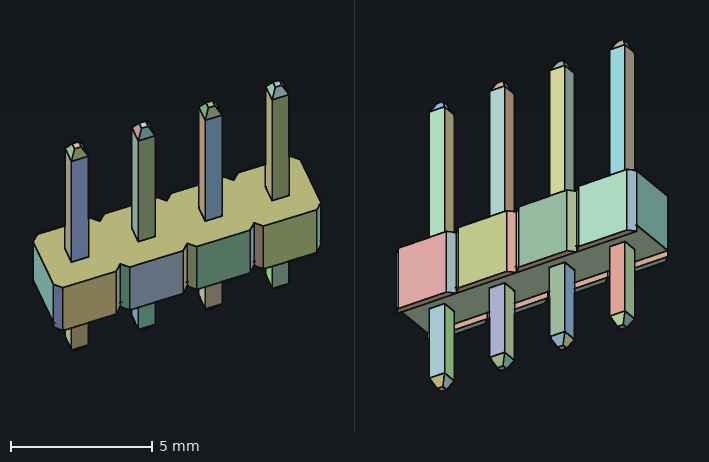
import cadquery as cq

pin_count = 4
pitch = 2.54

body_width = 2.54
body_height = 2.54
corner_chamfer = 0.254
channel_depth = 0.254
rail_width = 0.26
channel_width = body_width - 2 * rail_width

pin_size = 0.65
pin_above_body = 6.35
pin_below_body = 3.05
tip_length = 0.4
tip_size = 0.25

pin_bottom = -pin_below_body
pin_top = body_height + pin_above_body
row_length = pin_count * pitch


def body_segment(y):
    """Block around one pin, with its four vertical corners chamfered."""
    block = cq.Workplane("XY").box(body_width, pitch, body_height, centered=(True, True, False))
    return block.edges("|Z").chamfer(corner_chamfer).translate((0, y, 0))


def standoff_channel():
    """Shallow channel along the whole underside, leaving a rail along each side."""
    return cq.Workplane("XY").box(channel_width, row_length, channel_depth, centered=(True, True, False))


def pin_tip(shoulder_z, end_z):
    """Taper from the full pin section to the small flat end."""
    return (
        cq.Workplane("XY", origin=(0, 0, shoulder_z))
        .rect(pin_size, pin_size)
        .workplane(offset=end_z - shoulder_z)
        .rect(tip_size, tip_size)
        .loft(ruled=True)
    )


def pin(y):
    """Square pin through the body, tapered at both ends."""
    lower_shoulder = pin_bottom + tip_length
    upper_shoulder = pin_top - tip_length
    shank = (
        cq.Workplane("XY", origin=(0, 0, lower_shoulder))
        .rect(pin_size, pin_size)
        .extrude(upper_shoulder - lower_shoulder)
    )
    lower_tip = pin_tip(lower_shoulder, pin_bottom)
    upper_tip = pin_tip(upper_shoulder, pin_top)
    return shank.union(lower_tip).union(upper_tip).translate((0, y, 0))


pin_positions = [(i - (pin_count - 1) / 2) * pitch for i in range(pin_count)]

body = cq.Workplane("XY")
for position in pin_positions:
    body = body.union(body_segment(position))
body = body.cut(standoff_channel())

result = body
for position in pin_positions:
    result = result.union(pin(position))